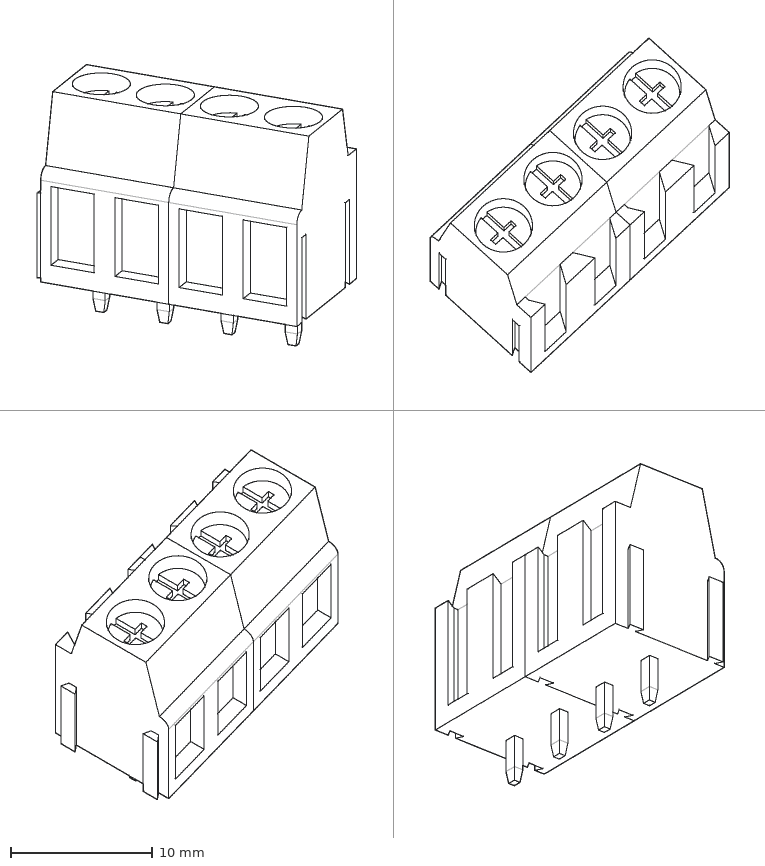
import cadquery as cq
import math


OVERALL_LENGTH = 20.55
HOUSING_COUNT = 2
WAYS_PER_HOUSING = 2

RAIL_DEPTH = 0.55
RAIL_HEIGHT = 6.47
RAIL_OUTER_WIDTH = 1.25
RAIL_ROOT_WIDTH = 0.65
FRONT_RAIL_Y = 1.21
BACK_RAIL_Y = 8.49

HOUSING_LENGTH = (OVERALL_LENGTH - RAIL_DEPTH) / HOUSING_COUNT
HOUSING_DEPTH = 10.0
HOUSING_HEIGHT = 13.79
SHOULDER_RADIUS = 0.82
SHOULDER_HEIGHT = 8.6
LEDGE_HEIGHT = 9.9
LEDGE_DEPTH = 1.4
TOP_FRONT_Y = 2.01
TOP_BACK_Y = 7.69

PITCH = HOUSING_LENGTH / WAYS_PER_HOUSING

WINDOW_WIDTH = 3.37
WINDOW_HEIGHT = 6.0
WINDOW_SILL = 1.42
WINDOW_DEPTH = 1.2

SLOT_MOUTH_WIDTH = 2.12
SLOT_FLANK_ANGLE = 30.0
SLOT_FLOOR = WINDOW_SILL
SLOT_END_WALL = 0.85

SCREW_Y = 4.8
BORE_RADIUS = 2.05
SCREW_RADIUS = 1.95
SCREW_RECESS = 1.3
SCREW_THICKNESS = 1.23
DRIVE_DEPTH = 0.6
DRIVE_LONG_WIDTH = 0.6
DRIVE_SHORT_WIDTH = 0.5
DRIVE_SHORT_LENGTH = 2.05

PIN_Y = SCREW_Y
PIN_LENGTH = 3.51
PIN_TIP_LENGTH = 0.99
PIN_WIDTH = 0.97
PIN_THICKNESS = 0.76
PIN_TIP_WIDTH = 0.64
PIN_TIP_THICKNESS = 0.53


def box(length, depth, height, x, y, bottom):
    """Box centred on (x, y) and standing on the level `bottom`."""
    return cq.Workplane("XY", origin=(x, y, bottom)).box(length, depth, height, centered=(True, True, False))


def way_x(way):
    """X of the centre of a way, counted from the -X face of the first housing."""
    return (way + 0.5) * PITCH


def housing_block():
    """Extruded side profile with a rounded front shoulder and a ledge at the back."""
    arc_drop = SHOULDER_RADIUS * (1 - math.sqrt(0.5))
    return (
        cq.Workplane("YZ")
        .lineTo(0, SHOULDER_HEIGHT - SHOULDER_RADIUS)
        .threePointArc((arc_drop, SHOULDER_HEIGHT - arc_drop), (SHOULDER_RADIUS, SHOULDER_HEIGHT))
        .lineTo(TOP_FRONT_Y, HOUSING_HEIGHT)
        .lineTo(TOP_BACK_Y, HOUSING_HEIGHT)
        .lineTo(HOUSING_DEPTH - LEDGE_DEPTH, LEDGE_HEIGHT)
        .lineTo(HOUSING_DEPTH, LEDGE_HEIGHT)
        .lineTo(HOUSING_DEPTH, 0)
        .close()
        .extrude(HOUSING_LENGTH)
    )


def dovetail_rail(root_x, y):
    """Rail that widens from `root_x` toward -X; also the shape of a groove."""
    root = RAIL_ROOT_WIDTH / 2
    outer = RAIL_OUTER_WIDTH / 2
    return (
        cq.Workplane("XY", origin=(root_x, y, 0))
        .polyline([(0, -root), (0, root), (-RAIL_DEPTH, outer), (-RAIL_DEPTH, -outer)])
        .close()
        .extrude(RAIL_HEIGHT)
    )


def ledge_slot(x):
    """Slot under the ledge that widens from the back face inward."""
    mouth = SLOT_MOUTH_WIDTH / 2
    inner = mouth + LEDGE_DEPTH * math.tan(math.radians(SLOT_FLANK_ANGLE))
    inner_y = HOUSING_DEPTH - LEDGE_DEPTH
    slot = (
        cq.Workplane("XY", origin=(x, 0, SLOT_FLOOR))
        .polyline([(-mouth, HOUSING_DEPTH), (mouth, HOUSING_DEPTH), (inner, inner_y), (-inner, inner_y)])
        .close()
        .extrude(LEDGE_HEIGHT - SLOT_FLOOR)
    )
    end_wall = box(2 * SLOT_END_WALL, 2 * HOUSING_DEPTH, HOUSING_HEIGHT, HOUSING_LENGTH, HOUSING_DEPTH, 0)
    return slot.cut(end_wall)


def screw_bore(x):
    """Bore from the top face down to the seat of the screw."""
    depth = SCREW_RECESS + SCREW_THICKNESS
    return cq.Workplane("XY", origin=(x, SCREW_Y, HOUSING_HEIGHT - depth)).circle(BORE_RADIUS).extrude(depth)


def wire_window(x):
    """Blind window in the wire-entry face."""
    return box(WINDOW_WIDTH, WINDOW_DEPTH, WINDOW_HEIGHT, x, WINDOW_DEPTH / 2, WINDOW_SILL)


def make_housing(index):
    """Two-way housing with rails on its -X side and grooves on its +X side."""
    housing = housing_block()
    for rail_y in (FRONT_RAIL_Y, BACK_RAIL_Y):
        housing = housing.union(dovetail_rail(0, rail_y))
        housing = housing.cut(dovetail_rail(HOUSING_LENGTH, rail_y))
    for way in range(WAYS_PER_HOUSING):
        x = way_x(way)
        housing = housing.cut(wire_window(x)).cut(ledge_slot(x)).cut(screw_bore(x))
    return housing.translate((index * HOUSING_LENGTH, 0, 0))


def make_screw(x):
    """Headless screw with a full-width slot crossed by a shorter one."""
    top = HOUSING_HEIGHT - SCREW_RECESS
    drive_floor = top - DRIVE_DEPTH
    screw = (
        cq.Workplane("XY", origin=(x, SCREW_Y, top - SCREW_THICKNESS))
        .circle(SCREW_RADIUS)
        .extrude(SCREW_THICKNESS)
    )
    long_slot = box(DRIVE_LONG_WIDTH, 2 * SCREW_RADIUS, DRIVE_DEPTH, x, SCREW_Y, drive_floor)
    short_slot = box(DRIVE_SHORT_LENGTH, DRIVE_SHORT_WIDTH, DRIVE_DEPTH, x, SCREW_Y, drive_floor)
    return screw.cut(long_slot).cut(short_slot)


def make_pin(x):
    """Rectangular pin below the housing with a tapered tip."""
    shank_length = PIN_LENGTH - PIN_TIP_LENGTH
    shank = box(PIN_WIDTH, PIN_THICKNESS, shank_length, x, PIN_Y, -shank_length)
    tip = (
        cq.Workplane("XY", origin=(x, PIN_Y, -PIN_LENGTH))
        .rect(PIN_TIP_WIDTH, PIN_TIP_THICKNESS)
        .workplane(offset=PIN_TIP_LENGTH)
        .rect(PIN_WIDTH, PIN_THICKNESS)
        .loft(ruled=True)
    )
    return shank.union(tip)


way_positions = [way_x(way) for way in range(HOUSING_COUNT * WAYS_PER_HOUSING)]
housings = [make_housing(index) for index in range(HOUSING_COUNT)]
screws = [make_screw(x) for x in way_positions]
pins = [make_pin(x) for x in way_positions]

result = cq.Compound.makeCompound([body.val() for body in housings + screws + pins])